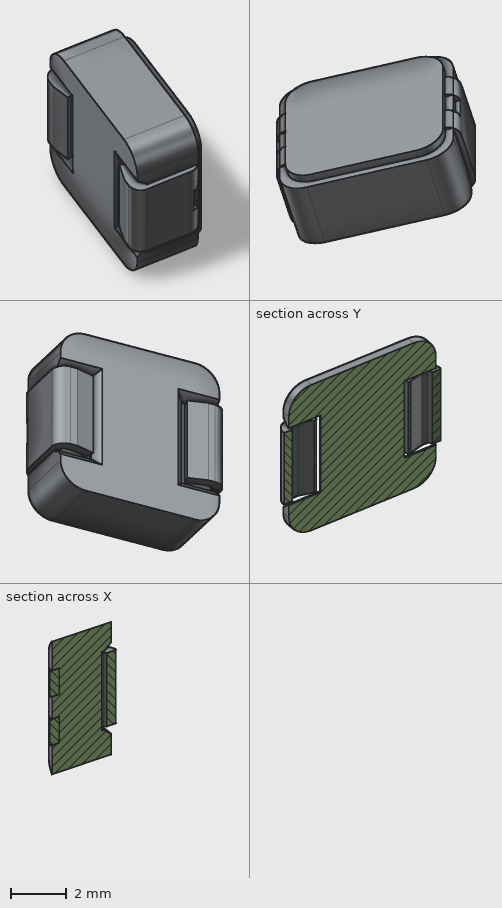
import cadquery as cq
import math

body_side = 6.47
body_depth = 2.5
corner_radius = 1.0

plate_depth = 0.3

overall_width = 6.88
strap_thickness = 0.385
strap_height = 3.19
bend_radius = 0.5
front_stand_off = 0.2
rear_stand_off = 0.095
leg_bend_x = 2.66
leg_end_x = 1.91
leg_angle = math.radians(15)
notch_height = 1.0

recess_mouth_x = 1.54
recess_mouth_height = 3.98
recess_chamfer = 0.295
recess_depth = 0.39

half_width = overall_width / 2
bend_end_x = half_width - bend_radius
plate_side = 2 * bend_end_x
strap_front_y = -front_stand_off
strap_rear_y = body_depth + rear_stand_off


def rounded_slab(side, y_start, depth):
    """Square slab with rounded corners, growing toward +Y from y_start."""
    slab = cq.Workplane("XY").box(side, depth, side)
    return slab.edges("|Y").fillet(corner_radius).translate((0, y_start + depth / 2, 0))


def make_terminal():
    """Left terminal: slanted front leg, side strap and forked rear bend."""
    inner_radius = bend_radius - strap_thickness
    inner_side_x = -half_width + strap_thickness
    inner_front_y = strap_front_y + strap_thickness
    inner_rear_y = strap_rear_y - strap_thickness
    front_bend_y = strap_front_y + bend_radius
    rear_bend_y = strap_rear_y - bend_radius

    tip_y = strap_front_y + (leg_bend_x - leg_end_x) * math.tan(leg_angle)
    inner_tip = (
        -leg_end_x - strap_thickness * math.sin(leg_angle),
        tip_y + strap_thickness * math.cos(leg_angle),
    )
    inner_leg_bend_x = -leg_bend_x - strap_thickness * math.tan(leg_angle / 2)

    strap = (
        cq.Workplane("XY")
        .workplane(offset=-strap_height / 2)
        .moveTo(-leg_end_x, tip_y)
        .lineTo(-leg_bend_x, strap_front_y)
        .lineTo(-bend_end_x, strap_front_y)
        .radiusArc((-half_width, front_bend_y), bend_radius)
        .lineTo(-half_width, rear_bend_y)
        .radiusArc((-bend_end_x, strap_rear_y), bend_radius)
        .lineTo(-bend_end_x, inner_rear_y)
        .radiusArc((inner_side_x, rear_bend_y), -inner_radius)
        .lineTo(inner_side_x, front_bend_y)
        .radiusArc((-bend_end_x, inner_front_y), -inner_radius)
        .lineTo(inner_leg_bend_x, inner_front_y)
        .lineTo(*inner_tip)
        .close()
        .extrude(strap_height)
    )
    notch = cq.Workplane("XY").box(2 * bend_radius, strap_thickness, notch_height)
    notch = notch.translate((-half_width, strap_rear_y - strap_thickness / 2, 0))
    return strap.cut(notch)


def make_recess():
    """Left recess cutter: sloped mouth and a short straight-walled floor."""
    floor_x = recess_mouth_x + recess_chamfer
    floor_height = recess_mouth_height - 2 * recess_chamfer
    side_x = -body_side / 2
    mouth_width = 2 * (body_side / 2 - recess_mouth_x)
    floor_width = 2 * (body_side / 2 - floor_x)
    mouth = (
        cq.Workplane("XZ", origin=(side_x, 0, 0))
        .rect(mouth_width, recess_mouth_height)
        .workplane(offset=-recess_chamfer)
        .rect(floor_width, floor_height)
        .loft(ruled=True)
    )
    floor = cq.Workplane("XY").box(floor_width, recess_depth, floor_height)
    return mouth.union(floor.translate((side_x, recess_depth / 2, 0)))


left_terminal = make_terminal()
left_recess = make_recess()
terminals = [left_terminal, left_terminal.mirror("YZ")]
recesses = [left_recess, left_recess.mirror("YZ")]

body = rounded_slab(body_side, 0, body_depth)
for recess, terminal in zip(recesses, terminals):
    body = body.cut(recess).cut(terminal)

back_plate = rounded_slab(plate_side, body_depth, plate_depth)

result = cq.Compound.makeCompound(
    [
        body.solids().val(),
        back_plate.solids().val(),
        *[terminal.solids().val() for terminal in terminals],
    ]
)